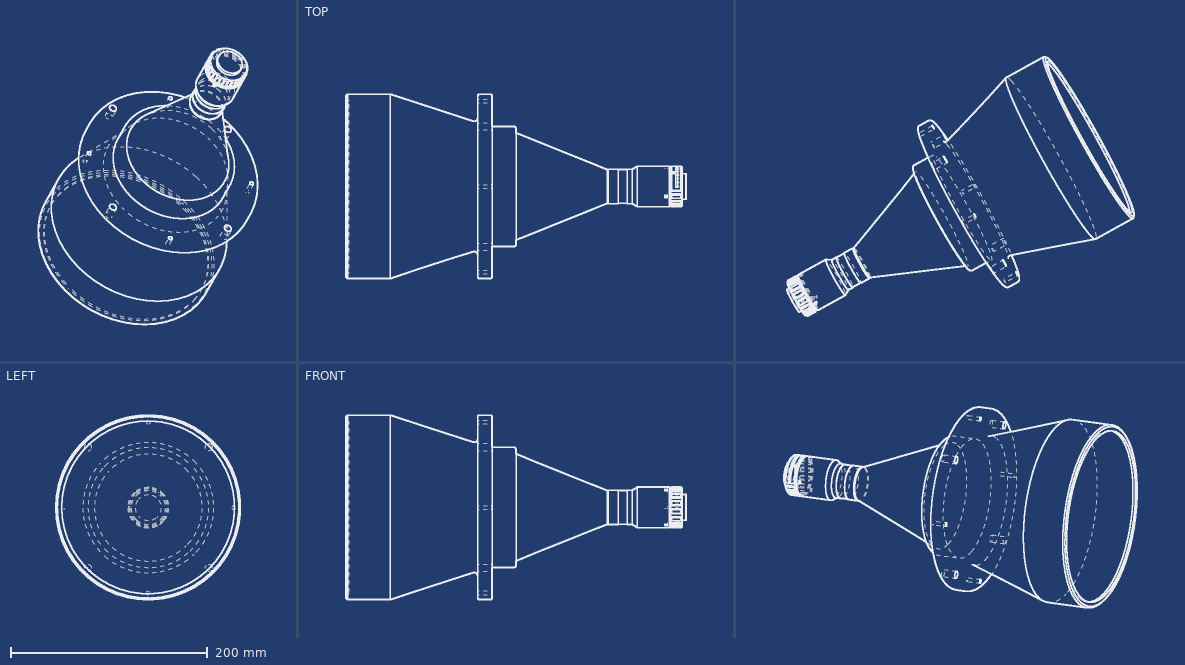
import cadquery as cq
import math


barrel_diameter = 188.0
barrel_radius = barrel_diameter / 2
barrel_chamfer_length = 1.7
barrel_chamfer_depth = 1.7
glass_radius = 88.0
glass_sag = 2.0
glass_recess = 2.8
barrel_end_x = 45.5

front_cone_end_x = 130.0
front_neck_length = 1.0
front_neck_radius = 66.5
flange_front_x = 134.0
flange_back_x = 149.0
flange_radius = barrel_radius
flange_rounding = 2.0
root_fillet = flange_front_x - front_cone_end_x - front_neck_length

flange_hole_circle_radius = 87.0
large_hole_diameter = 7.3
small_hole_diameter = 3.8
holes_per_size = 4

collar_radius = 61.3
collar_end_x = 173.0
collar_rounding = 2.0

rear_cone_start_radius = 54.7
rear_cone_end_x = 266.0
neck_radius = 17.5
relief_depth = 0.5
neck_relief_length = 1.0
relief_radius = neck_radius - relief_depth
waist_start_x = 277.0
waist_end_x = 286.5
shoulder_start_x = 291.5

grip_start_x = 296.8
grip_end_x = 329.7
grip_radius = 20.8
grip_chamfer = 0.7
screw_hole_diameter = 2.8
screw_hole_depth = 2.0
screw_hole_x = 326.0
screw_hole_count = 3

gap_width = 1.0
gap_floor_radius = 19.0
ring_start_x = grip_end_x + gap_width
ring_end_x = 342.5
ring_front_chamfer = 0.7
ring_back_chamfer_length = 1.7
ring_back_chamfer_depth = 1.5
spigot_radius = 13.0
spigot_end_x = 346.3

flute_pitch_angle = 24
flute_count = 360 // flute_pitch_angle
flute_mouth_width = 5.2
flute_floor_width = 3.0
flute_depth = 1.0
smooth_start_angle = 88
smooth_end_angle = 180
slot_start_x = 336.0
slot_width = 1.7
slot_depth = 1.0
entry_slot_angle = (smooth_start_angle + smooth_end_angle) / 2


def corner_arc(profile, centre, radius, mid_angle, end):
    """Quarter-round corner about `centre`, passing through the direction `mid_angle`."""
    direction = math.radians(mid_angle)
    middle = (centre[0] + radius * math.cos(direction), centre[1] + radius * math.sin(direction))
    return profile.threePointArc(middle, end)


def revolve_about_x(profile):
    return profile.close().revolve(360, (0, 0, 0), (1, 0, 0))


def place_round_x(shape, angle):
    """Turn a shape made on the -Y side about the X axis, towards +Z."""
    return shape.rotate((0, 0, 0), (1, 0, 0), -angle)


def turned_lens_body():
    dome_radius = (glass_radius**2 + glass_sag**2) / (2 * glass_sag)
    half_chord = glass_radius / 2
    glass_apex_x = glass_recess - glass_sag
    dome_middle_x = glass_apex_x + dome_radius - math.sqrt(dome_radius**2 - half_chord**2)
    profile = (
        cq.Workplane("XY")
        .moveTo(glass_apex_x, 0)
        .threePointArc((dome_middle_x, half_chord), (glass_recess, glass_radius))
        .lineTo(0, glass_radius)
        .lineTo(0, barrel_radius - barrel_chamfer_depth)
        .lineTo(barrel_chamfer_length, barrel_radius)
        .lineTo(barrel_end_x, barrel_radius)
        .lineTo(front_cone_end_x, front_neck_radius)
        .lineTo(front_cone_end_x + front_neck_length, front_neck_radius)
    )
    root_centre = (flange_front_x - root_fillet, front_neck_radius + root_fillet)
    profile = corner_arc(profile, root_centre, root_fillet, -45, (flange_front_x, root_centre[1]))

    rim_centre_radius = flange_radius - flange_rounding
    front_rim = (flange_front_x + flange_rounding, rim_centre_radius)
    back_rim = (flange_back_x - flange_rounding, rim_centre_radius)
    profile = profile.lineTo(flange_front_x, rim_centre_radius)
    profile = corner_arc(profile, front_rim, flange_rounding, 135, (front_rim[0], flange_radius))
    profile = profile.lineTo(back_rim[0], flange_radius)
    profile = corner_arc(profile, back_rim, flange_rounding, 45, (flange_back_x, rim_centre_radius))

    collar_rim = (collar_end_x - collar_rounding, collar_radius - collar_rounding)
    profile = profile.lineTo(flange_back_x, collar_radius).lineTo(collar_rim[0], collar_radius)
    profile = corner_arc(profile, collar_rim, collar_rounding, 45, (collar_end_x, collar_rim[1]))

    profile = (
        profile.lineTo(collar_end_x, rear_cone_start_radius)
        .lineTo(rear_cone_end_x, relief_radius)
        .lineTo(rear_cone_end_x + neck_relief_length, relief_radius)
        .lineTo(rear_cone_end_x + neck_relief_length, neck_radius)
        .lineTo(waist_start_x, neck_radius)
        .lineTo(waist_start_x, relief_radius)
        .lineTo(waist_end_x, relief_radius)
        .lineTo(waist_end_x, neck_radius)
        .lineTo(shoulder_start_x, neck_radius)
        .lineTo(grip_start_x, grip_radius)
        .lineTo(grip_end_x - grip_chamfer, grip_radius)
        .lineTo(grip_end_x, grip_radius - grip_chamfer)
        .lineTo(grip_end_x, 0)
    )
    return revolve_about_x(profile)


def flange_holes(diameter, start_angle):
    """Drills through the flange, evenly spaced on the hole circle."""
    return (
        cq.Workplane("YZ", origin=(flange_front_x, 0, 0))
        .polarArray(flange_hole_circle_radius, start_angle, 360, holes_per_size)
        .circle(diameter / 2)
        .extrude(flange_back_x - flange_front_x)
    )


def screw_hole(angle):
    drill = (
        cq.Workplane("XZ", origin=(screw_hole_x, -grip_radius + screw_hole_depth, 0))
        .circle(screw_hole_diameter / 2)
        .extrude(2 * screw_hole_depth)
    )
    return place_round_x(drill, angle)


def make_lens_body():
    body = turned_lens_body()
    half_step = 180 / holes_per_size
    body = body.cut(flange_holes(large_hole_diameter, half_step))
    body = body.cut(flange_holes(small_hole_diameter, 0))
    first_screw_angle = 180 / screw_hole_count
    for index in range(screw_hole_count):
        body = body.cut(screw_hole(first_screw_angle + index * 360 / screw_hole_count))
    return body


def turned_mount_ring():
    return revolve_about_x(
        cq.Workplane("XY")
        .moveTo(grip_end_x, 0)
        .lineTo(grip_end_x, gap_floor_radius)
        .lineTo(ring_start_x, gap_floor_radius)
        .lineTo(ring_start_x, grip_radius - ring_front_chamfer)
        .lineTo(ring_start_x + ring_front_chamfer, grip_radius)
        .lineTo(ring_end_x - ring_back_chamfer_length, grip_radius)
        .lineTo(ring_end_x, grip_radius - ring_back_chamfer_depth)
        .lineTo(ring_end_x, spigot_radius)
        .lineTo(spigot_end_x, spigot_radius)
        .lineTo(spigot_end_x, 0)
    )


def grip_flute(angle):
    """Straight trapezoidal flute along the whole ring, its flanks drawn on past the ring surface."""
    flank_run = (flute_mouth_width - flute_floor_width) / 2
    floor_radius = grip_radius - flute_depth
    outer_radius = grip_radius + flute_depth
    outer_half_width = flute_mouth_width / 2 + flank_run
    cutter = (
        cq.Workplane("YZ", origin=(ring_start_x, 0, 0))
        .moveTo(-floor_radius, -flute_floor_width / 2)
        .lineTo(-outer_radius, -outer_half_width)
        .lineTo(-outer_radius, outer_half_width)
        .lineTo(-floor_radius, flute_floor_width / 2)
        .close()
        .extrude(ring_end_x - ring_start_x)
    )
    return place_round_x(cutter, angle)


def sector_slot():
    """Shallow slot running round the smooth sector of the ring."""
    slot_floor_radius = grip_radius - slot_depth
    cutter = (
        cq.Workplane("XY")
        .moveTo(slot_start_x, -slot_floor_radius)
        .lineTo(slot_start_x, -grip_radius - slot_depth)
        .lineTo(slot_start_x + slot_width, -grip_radius - slot_depth)
        .lineTo(slot_start_x + slot_width, -slot_floor_radius)
        .close()
        .revolve(smooth_end_angle - smooth_start_angle, (0, 0, 0), (-1, 0, 0))
    )
    return place_round_x(cutter, smooth_start_angle)


def entry_slot():
    """Shallow slot along X from the front of the ring into the sector slot."""
    length = slot_start_x + slot_width - ring_start_x
    cutter = cq.Workplane("XY").box(length, 2 * slot_depth, slot_width, centered=(False, True, True))
    return place_round_x(cutter.translate((ring_start_x, -grip_radius, 0)), entry_slot_angle)


def make_mount_ring():
    ring = turned_mount_ring()
    for index in range(flute_count):
        angle = index * flute_pitch_angle
        if not smooth_start_angle <= angle <= smooth_end_angle:
            ring = ring.cut(grip_flute(angle))
    return ring.cut(sector_slot()).cut(entry_slot())


lens_body = make_lens_body()
mount_ring = make_mount_ring()

result = cq.Compound.makeCompound([lens_body.val(), mount_ring.val()])